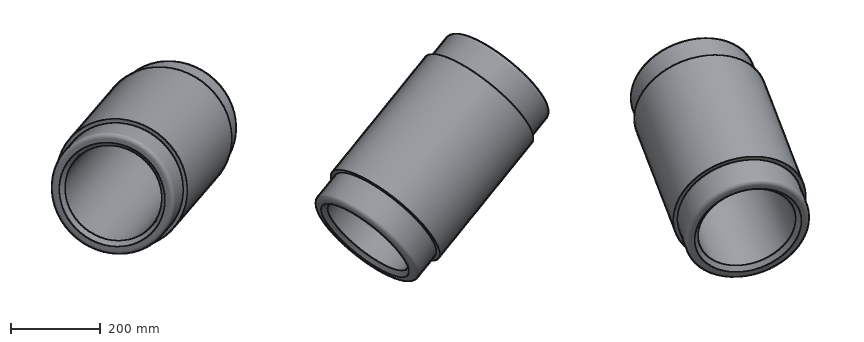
import cadquery as cq

total_length = 495.0
sleeve_length = 345.5
sleeve_diameter = 305.0
pipe_diameter = 286.0
bore_diameter = 224.5
end_rounding = 10.0
bore_chamfer = 10.5


def cylinder_along_y(diameter, length):
    """Solid cylinder on the Y axis, centred on the origin."""
    return cq.Workplane("XZ", origin=(0, length / 2, 0)).circle(diameter / 2).extrude(length)


pipe = cylinder_along_y(pipe_diameter, total_length).faces("<Y or >Y").edges().fillet(end_rounding)

sleeve = cylinder_along_y(sleeve_diameter, sleeve_length)

bore = cylinder_along_y(bore_diameter, total_length)
body = pipe.union(sleeve).cut(bore)

bore_mouths = body.faces("<Y or >Y").edges(cq.selectors.RadiusNthSelector(0))
result = bore_mouths.chamfer(bore_chamfer)